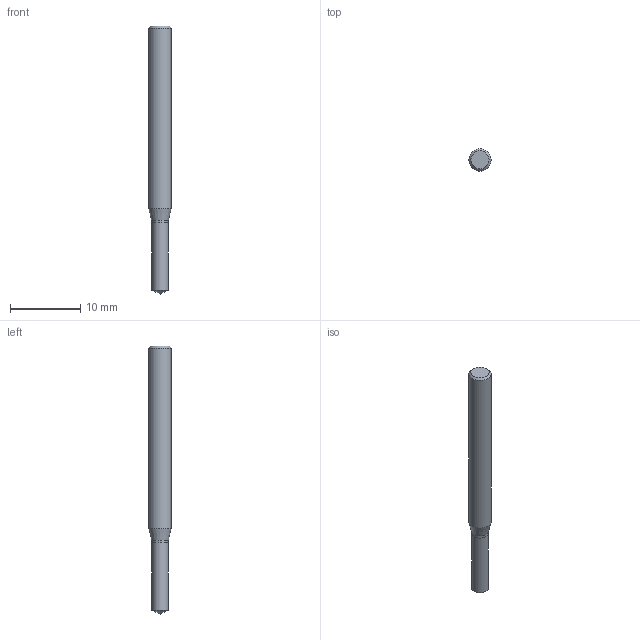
import cadquery as cq
import math

overall_length = 38.1
shank_diameter = 3.175
tip_diameter = 2.405
shank_length = 28.0
straight_length = 26.0
neck_length = 0.36
end_chamfer = 0.3
point_angle = 130.0

shank_radius = shank_diameter / 2
tip_radius = tip_diameter / 2
point_height = tip_radius / math.tan(math.radians(point_angle / 2))
joint_z = overall_length - shank_length
taper_bottom_z = joint_z + neck_length
taper_top_z = overall_length - straight_length


def revolve_profile(points):
    """Revolve a closed (radius, height) outline about the Z axis."""
    return cq.Workplane("XZ").polyline(points).close().revolve(360, (0, 0), (0, 1))


def make_shank():
    """Round shank with a chamfered top, tapering to a neck that matches the tip."""
    return revolve_profile([
        (0, joint_z),
        (tip_radius, joint_z),
        (tip_radius, taper_bottom_z),
        (shank_radius, taper_top_z),
        (shank_radius, overall_length - end_chamfer),
        (shank_radius - end_chamfer, overall_length),
        (0, overall_length),
    ])


def make_tip():
    """Round tip with a conical point, butted against the shank neck."""
    return revolve_profile([
        (0, 0),
        (tip_radius, point_height),
        (tip_radius, joint_z),
        (0, joint_z),
    ])


shank = make_shank()
tip = make_tip()

result = cq.Compound.makeCompound([shank.val(), tip.val()])